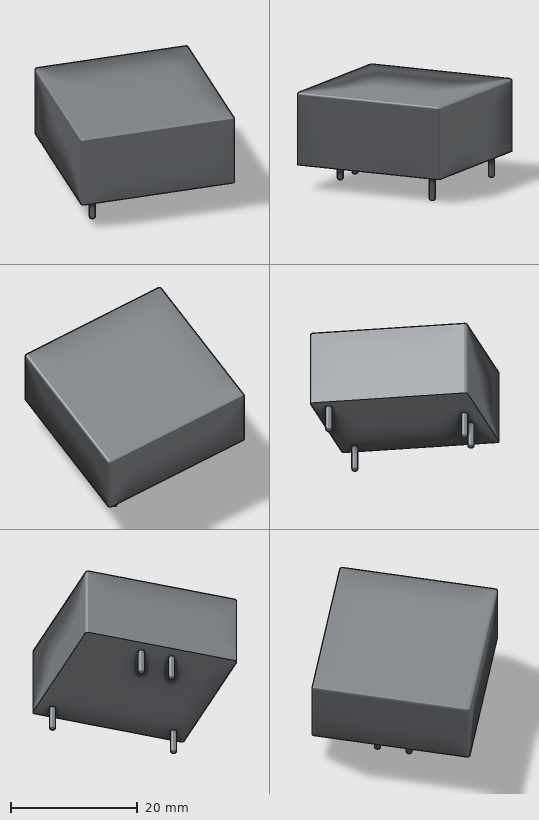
import cadquery as cq

case_side = 25.4
total_height = 15.8
pin_length = 4.06
case_height = total_height - pin_length
edge_radius = 0.45

pin_pitch = 2.55
pin_diameter = 1.0
pin_tip_radius = 0.48
row_offset = 4 * pin_pitch

pin_places = [
    (side * spread, row)
    for spread, row in [(4 * pin_pitch, -row_offset), (pin_pitch, row_offset)]
    for side in (-1, 1)
]


def make_case():
    """Block resting on Z = 0, rounded on all edges except the bottom ones."""
    block = cq.Workplane("XY").box(case_side, case_side, case_height, centered=(True, True, False))
    return block.edges("|Z or >Z").fillet(edge_radius)


def make_pins():
    """Round pins hanging from the case bottom, with rounded tips."""
    pins = cq.Workplane("XY").pushPoints(pin_places).circle(pin_diameter / 2).extrude(-pin_length)
    return pins.faces("<Z").edges().fillet(pin_tip_radius)


result = make_case().union(make_pins())